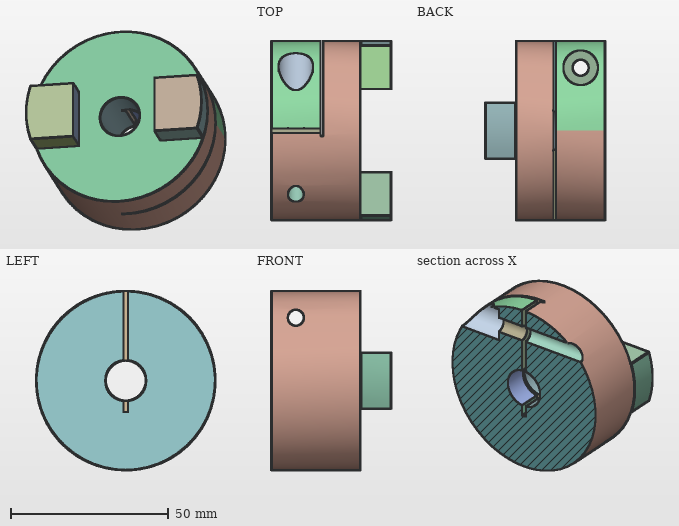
import cadquery as cq

outer_diameter = 57.15
total_length = 38.2
hub_length = 28.45
bore_diameter = 12.7
edge_chamfer = 0.2

slit_width = 1.45
slit_depth_below_axis = 10.0
cross_cut_start = 15.7
cross_cut_width = 0.8
cross_cut_depth_past_axis = 1.85

screw_x = 7.85
screw_z = 20.0
screw_hole_diameter = 5.05
head_bore_diameter = 11.05
head_seat_y = 10.0

jaw_width = 18.0
jaw_inner_y = 13.2
jaw_chamfer = 0.2

outer_radius = outer_diameter / 2
jaw_length = total_length - hub_length


def make_hub():
    """Chamfered cylinder with a chamfered through bore."""
    hub = cq.Workplane("YZ").circle(outer_radius).extrude(hub_length)
    hub = hub.faces("<X or >X").chamfer(edge_chamfer)
    bore = cq.Workplane("YZ").circle(bore_diameter / 2).extrude(hub_length)
    return hub.cut(bore).edges(cq.selectors.RadiusNthSelector(0)).chamfer(edge_chamfer)


def make_jaw(side):
    """Block on the +Y (side = 1) or -Y (side = -1) half, rounded to the hub's outer radius."""
    jaw_depth = outer_radius - jaw_inner_y
    block = (
        cq.Workplane("XY")
        .box(jaw_length, jaw_depth, jaw_width)
        .translate((hub_length + jaw_length / 2, side * (jaw_inner_y + jaw_depth / 2), 0))
    )
    envelope = cq.Workplane("YZ").circle(outer_radius).extrude(total_length)
    jaw = block.intersect(envelope)
    outer_edges = jaw.faces("%CYLINDER").edges()
    end_edges = jaw.faces(">X").edges("|Y")
    return outer_edges.add(end_edges).chamfer(jaw_chamfer)


def cut_slit(body):
    """Axial slit from the rim, across the bore, to a blind end below it."""
    slit_height = outer_radius + slit_depth_below_axis
    slit = (
        cq.Workplane("XY")
        .box(cross_cut_start, slit_width, slit_height)
        .translate((cross_cut_start / 2, 0, slit_height / 2 - slit_depth_below_axis))
    )
    return body.cut(slit)


def cut_cross(body):
    """Cross cut through the full height from the +Y rim to just past the axis, with a round end."""
    end_radius = cross_cut_width / 2
    arc_start_y = end_radius - cross_cut_depth_past_axis
    cross_cut = (
        cq.Workplane("XY")
        .moveTo(cross_cut_start, outer_radius)
        .lineTo(cross_cut_start, arc_start_y)
        .threePointArc(
            (cross_cut_start + end_radius, -cross_cut_depth_past_axis),
            (cross_cut_start + cross_cut_width, arc_start_y),
        )
        .lineTo(cross_cut_start + cross_cut_width, outer_radius)
        .close()
        .extrude(outer_radius, both=True)
    )
    return body.cut(cross_cut)


def cut_screw_hole(body):
    """Through hole along Y with a counterbore for the screw head on the +Y side."""
    screw_axis = cq.Workplane("XZ").center(screw_x, screw_z)
    hole = screw_axis.circle(screw_hole_diameter / 2).extrude(outer_radius, both=True)
    head_bore = (
        screw_axis.workplane(offset=-head_seat_y)
        .circle(head_bore_diameter / 2)
        .extrude(head_seat_y - outer_radius)
    )
    return body.cut(hole).cut(head_bore)


body = make_hub()
for side in (1, -1):
    body = body.union(make_jaw(side))
body = cut_slit(body)
body = cut_cross(body)
result = cut_screw_hole(body)